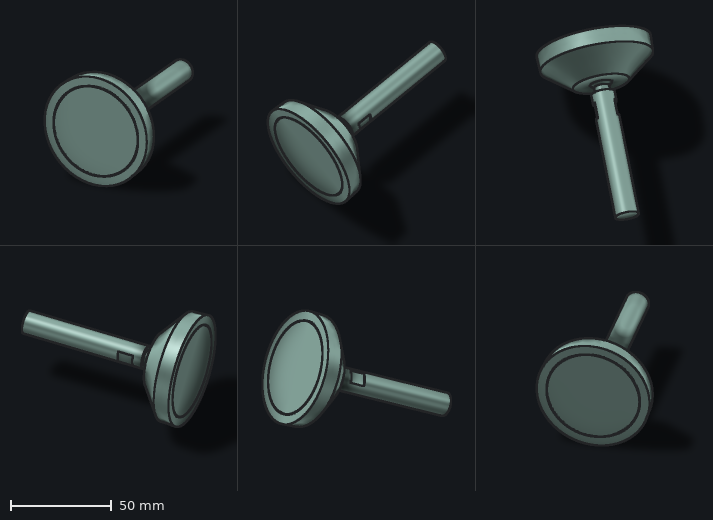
import cadquery as cq


BASE_DIAMETER = 58.0
RIM_TOP_DIAMETER = 57.2
RIM_HEIGHT = 8.2
FOOT_TOP_DIAMETER = 28.6
FOOT_HEIGHT = 20.0

GROOVE_OUTER_DIAMETER = 48.0
GROOVE_INNER_DIAMETER = 47.5
GROOVE_DEPTH = 0.9

TOTAL_LENGTH = 90.0
STEM_DIAMETER = 12.0
NECK_DIAMETER = 7.8
SHOULDER_Y = 25.0
BALL_DIAMETER = 14.0
BALL_CENTRE_Y = 15.7

FLATS_START_Y = 30.0
FLATS_LENGTH = 8.0
ACROSS_FLATS = 10.0


def cylinder(diameter, start_y, end_y):
    """Cylinder on the Y axis between two heights."""
    plane = cq.Plane(origin=(0, start_y, 0), xDir=(1, 0, 0), normal=(0, 1, 0))
    return cq.Workplane(plane).circle(diameter / 2).extrude(end_y - start_y)


def make_ball():
    """Ball of the joint, also used to cut its matching socket."""
    return cq.Workplane("XY").sphere(BALL_DIAMETER / 2).translate((0, BALL_CENTRE_Y, 0))


def make_foot():
    """Conical foot with a slightly tapered rim, a ball socket and a ground-face groove."""
    foot = (
        cq.Workplane("XY")
        .moveTo(0, 0)
        .lineTo(BASE_DIAMETER / 2, 0)
        .lineTo(RIM_TOP_DIAMETER / 2, RIM_HEIGHT)
        .lineTo(FOOT_TOP_DIAMETER / 2, FOOT_HEIGHT)
        .lineTo(0, FOOT_HEIGHT)
        .close()
        .revolve(360, (0, 0, 0), (0, 1, 0))
    )
    groove_outer = cylinder(GROOVE_OUTER_DIAMETER, 0, GROOVE_DEPTH)
    groove_inner = cylinder(GROOVE_INNER_DIAMETER, 0, GROOVE_DEPTH)
    groove = groove_outer.cut(groove_inner)
    return foot.cut(groove).cut(make_ball())


def make_stem():
    """Round stem with a thin neck, a ball end and two wrench flats."""
    neck = cylinder(NECK_DIAMETER, BALL_CENTRE_Y, SHOULDER_Y)
    stem = cylinder(STEM_DIAMETER, SHOULDER_Y, TOTAL_LENGTH).union(neck).union(make_ball())
    flat_depth = (STEM_DIAMETER - ACROSS_FLATS) / 2
    for side in (-1, 1):
        cutter = cq.Workplane("XY").box(flat_depth, FLATS_LENGTH, STEM_DIAMETER)
        cutter_x = side * (ACROSS_FLATS + flat_depth) / 2
        cutter_y = FLATS_START_Y + FLATS_LENGTH / 2
        stem = stem.cut(cutter.translate((cutter_x, cutter_y, 0)))
    return stem


foot = make_foot()
stem = make_stem()
result = cq.Compound.makeCompound([foot.solids().val(), stem.solids().val()])